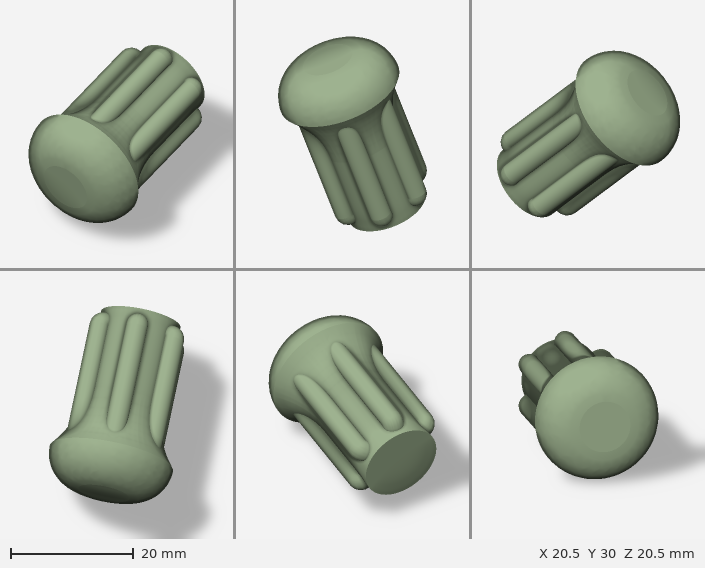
import cadquery as cq
import math

length = 30.0
head_radius = 10.25
head_rounding = 6.0
shank_radius = 6.6
flare_end = 16.0

rib_count = 6
rib_radius = 1.75
rib_crest = 8.75
rib_root = 6.42
rib_start = head_rounding
rib_dome_start = 26.73

face_radius = head_radius - head_rounding
flare_rise = head_radius - shank_radius
flare_length = flare_end - head_rounding
flare_radius = (flare_rise**2 + flare_length**2) / (2 * flare_rise)
rib_center = rib_crest - rib_radius


def make_body():
    """Revolved head, concave flare and cylindrical shank."""
    head_mid = (
        face_radius + head_rounding * math.sin(math.pi / 4),
        head_rounding * (1 - math.cos(math.pi / 4)),
    )
    half_angle = math.asin(flare_length / flare_radius) / 2
    flare_mid = (
        shank_radius + flare_radius * (1 - math.cos(half_angle)),
        flare_end - flare_radius * math.sin(half_angle),
    )
    return (
        cq.Workplane("ZY")
        .lineTo(face_radius, 0)
        .threePointArc(head_mid, (head_radius, head_rounding))
        .threePointArc(flare_mid, (shank_radius, flare_end))
        .lineTo(shank_radius, length)
        .lineTo(0, length)
        .close()
        .revolve(360, (0, 0, 0), (0, 1, 0))
    )


def make_rib():
    """Round bar on the +Z side, its free end swung a quarter turn about the root line."""
    plane = cq.Plane(origin=(0, rib_dome_start, 0), xDir=(1, 0, 0), normal=(0, -1, 0))
    bar = (
        cq.Workplane(plane)
        .center(0, rib_center)
        .circle(rib_radius)
        .extrude(rib_dome_start - rib_start)
    )
    root_half_width = math.sqrt(rib_radius**2 - (rib_center - rib_root) ** 2)
    dome = (
        cq.Workplane(plane)
        .moveTo(-root_half_width, rib_root)
        .lineTo(root_half_width, rib_root)
        .threePointArc((0, rib_crest), (-root_half_width, rib_root))
        .close()
        .revolve(90, (0.3, rib_root, 0), (0, rib_root, 0))
    )
    return bar.union(dome)


result = make_body()
rib = make_rib()
for index in range(rib_count):
    result = result.union(rib.rotate((0, 0, 0), (0, 1, 0), index * 360 / rib_count))